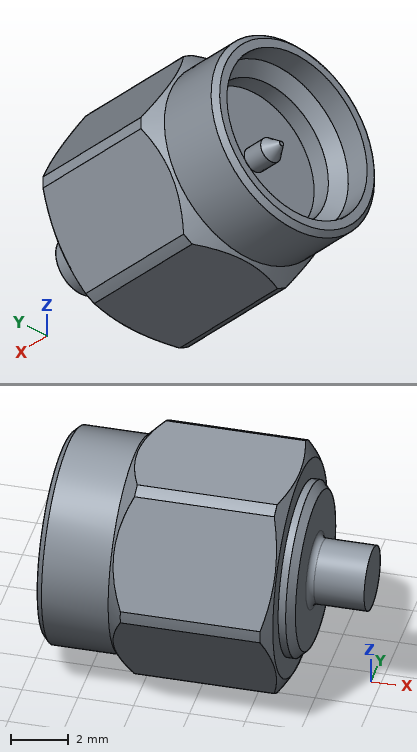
import cadquery as cq
import math


sleeve_radius = 3.875
sleeve_length = 2.6
sleeve_chamfer = 0.21
hex_across_flats = 7.94
hex_corner_diameter = 8.91
hex_end = 8.51
hex_front_angle = 45.0
hex_rear_angle = 60.0
hex_rear_taper = 0.32

bore_radius = 3.32
bore_depth = 0.96
cavity_radius = 2.83
cavity_depth = 2.18

pin_radius = 0.48
pin_tip_radius = 0.09
pin_tip_x = 0.79
pin_cone_length = 0.55

flange_radius = 3.15
flange_end = 9.06
flange_chamfer = 0.28
cable_radius = 1.163
cable_end = 11.09
cable_root_fillet = 0.23


def revolve_about_x(profile):
    """Revolve an (X, radius) profile a full turn about the X axis."""
    return profile.close().revolve(360, (0, 0, 0), (1, 0, 0))


def make_sleeve():
    """Round front sleeve with a chamfered rim."""
    return revolve_about_x(
        cq.Workplane("XZ")
        .lineTo(0, sleeve_radius - sleeve_chamfer)
        .lineTo(sleeve_chamfer, sleeve_radius)
        .lineTo(sleeve_length, sleeve_radius)
        .lineTo(sleeve_length, 0)
    )


def make_hex_nut():
    """Hexagon with corners on the Y axis, trimmed by a cylinder with tapered ends."""
    corner_radius = hex_corner_diameter / 2
    front_taper = (corner_radius - sleeve_radius) / math.tan(math.radians(hex_front_angle))
    rear_radius = corner_radius - hex_rear_taper * math.tan(math.radians(hex_rear_angle))
    hex_across_corners = hex_across_flats / math.cos(math.pi / 6)

    prism = (
        cq.Workplane("YZ", origin=(sleeve_length, 0, 0))
        .polygon(6, hex_across_corners)
        .extrude(hex_end - sleeve_length)
    )
    envelope = revolve_about_x(
        cq.Workplane("XZ")
        .moveTo(sleeve_length, 0)
        .lineTo(sleeve_length, sleeve_radius)
        .lineTo(sleeve_length + front_taper, corner_radius)
        .lineTo(hex_end - hex_rear_taper, corner_radius)
        .lineTo(hex_end, rear_radius)
        .lineTo(hex_end, 0)
    )
    return prism.intersect(envelope)


def make_rear_body():
    """Chamfered flange and the cable, joined by a concave root fillet."""
    fillet_sag = cable_root_fillet * (1 - math.sqrt(0.5))
    return revolve_about_x(
        cq.Workplane("XZ")
        .moveTo(hex_end, 0)
        .lineTo(hex_end, flange_radius)
        .lineTo(flange_end - flange_chamfer, flange_radius)
        .lineTo(flange_end, flange_radius - flange_chamfer)
        .lineTo(flange_end, cable_radius + cable_root_fillet)
        .threePointArc(
            (flange_end + fillet_sag, cable_radius + fillet_sag),
            (flange_end + cable_root_fillet, cable_radius),
        )
        .lineTo(cable_end, cable_radius)
        .lineTo(cable_end, 0)
    )


def make_socket():
    """Open front cavity: a bore, a 45 degree step and a narrower flat-bottomed bore."""
    step_end = bore_depth + bore_radius - cavity_radius
    return revolve_about_x(
        cq.Workplane("XZ")
        .lineTo(0, bore_radius)
        .lineTo(bore_depth, bore_radius)
        .lineTo(step_end, cavity_radius)
        .lineTo(cavity_depth, cavity_radius)
        .lineTo(cavity_depth, 0)
    )


def make_pin():
    """Center pin with a blunt conical tip, standing on the cavity floor."""
    return revolve_about_x(
        cq.Workplane("XZ")
        .moveTo(pin_tip_x, 0)
        .lineTo(pin_tip_x, pin_tip_radius)
        .lineTo(pin_tip_x + pin_cone_length, pin_radius)
        .lineTo(cavity_depth, pin_radius)
        .lineTo(cavity_depth, 0)
    )


shell = make_sleeve().union(make_hex_nut()).union(make_rear_body())
result = shell.cut(make_socket()).union(make_pin())